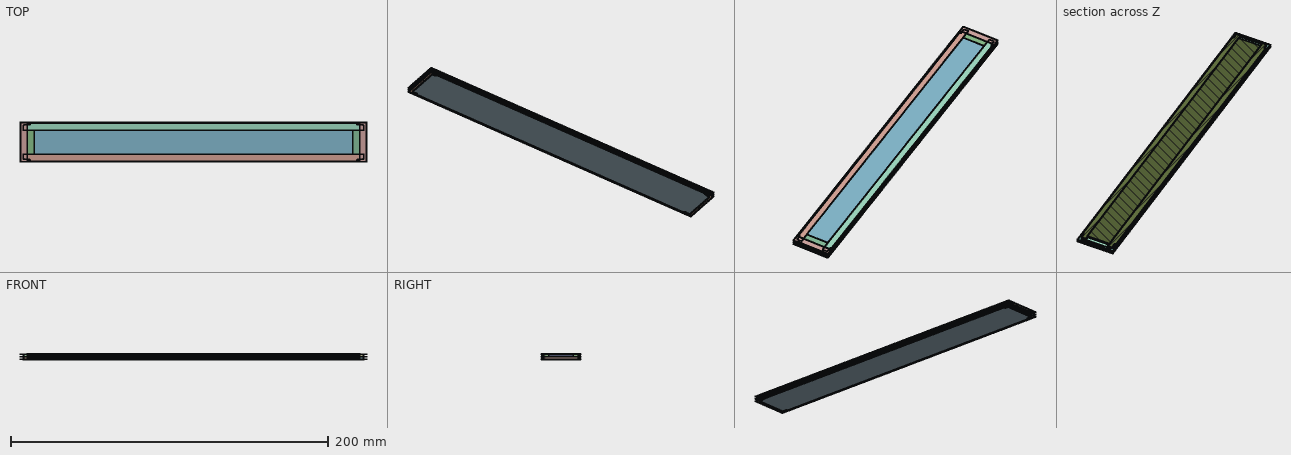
import cadquery as cq

LENGTH = 218.4
WIDTH = 24.96
HEIGHT = 3.74

SHEET_THICKNESS = 0.06
PLATE_THICKNESS = 0.5
SHEET_LEVEL = (HEIGHT - PLATE_THICKNESS) / 2
SHEET_LEVELS = (-SHEET_LEVEL, 0, SHEET_LEVEL)

SHEET_OVERHANG = 0.48
PLATE_HALF_LENGTH = 104.75
PLATE_HALF_WIDTH = WIDTH / 2 - SHEET_OVERHANG
PLATE_CORNER_X = 0.85
PLATE_CORNER_Y = 0.6

WEB_HALF_WIDTH = PLATE_HALF_WIDTH - 0.12
NECK_HALF_LENGTH = 107.3
NECK_HALF_WIDTH = 10.9
NECK_START_X = 103.6
NECK_FLARE_X = 102.7
NECK_CORNER_RADIUS = 0.6

INSERT_LENGTH = 2 * PLATE_HALF_LENGTH
INSERT_WIDTH = 15.2
INSERT_BOTTOM = PLATE_THICKNESS / 2
INSERT_END_TOP = 1.72
PANEL_LENGTH = 201
PANEL_TOP = 1.8


def box_between(length, width, bottom, top):
    """Box centred on the Z axis, from one height to another."""
    return cq.Workplane("XY").workplane(offset=bottom).rect(length, width).extrude(top - bottom)


def symmetric_slab(corner_points, bottom, top):
    """Slab whose outline repeats one quadrant's points, listed from +X to +Y, in all four quadrants."""
    back = corner_points[::-1]
    outline = list(corner_points)
    outline += [(-x, y) for x, y in back]
    outline += [(-x, -y) for x, y in corner_points]
    outline += [(x, -y) for x, y in back]
    return cq.Workplane("XY").workplane(offset=bottom).polyline(outline).close().extrude(top - bottom)


def make_web():
    """Upright core of the frame, from the bottom to the highest sheet."""
    corner = [
        (NECK_HALF_LENGTH, NECK_HALF_WIDTH),
        (NECK_START_X, NECK_HALF_WIDTH),
        (NECK_FLARE_X, WEB_HALF_WIDTH),
    ]
    web = symmetric_slab(corner, -HEIGHT / 2, SHEET_LEVEL)
    return web.edges("|Z and (<X or >X)").fillet(NECK_CORNER_RADIUS)


def make_plate(level):
    """Plate with cut corners, centred on a sheet level."""
    corner = [
        (PLATE_HALF_LENGTH, PLATE_HALF_WIDTH - PLATE_CORNER_Y),
        (PLATE_HALF_LENGTH - PLATE_CORNER_X, PLATE_HALF_WIDTH),
    ]
    return symmetric_slab(corner, level - PLATE_THICKNESS / 2, level + PLATE_THICKNESS / 2)


def make_sheet(level):
    """Thin full-size sheet, centred on a sheet level."""
    return box_between(LENGTH, WIDTH, level - SHEET_THICKNESS / 2, level + SHEET_THICKNESS / 2)


def make_frame():
    """Web, plates and sheets in one piece, with the channel for the insert."""
    frame = make_web()
    for level in SHEET_LEVELS:
        frame = frame.union(make_plate(level)).union(make_sheet(level))

    frame = frame.cut(box_between(INSERT_LENGTH, INSERT_WIDTH, INSERT_BOTTOM, HEIGHT / 2))

    channel_top = SHEET_LEVEL - SHEET_THICKNESS / 2
    return frame.cut(box_between(LENGTH, INSERT_WIDTH, INSERT_BOTTOM, channel_top))


def make_insert():
    """Strip filling the opening, lower at its two ends than in the middle."""
    strip = box_between(INSERT_LENGTH, INSERT_WIDTH, INSERT_BOTTOM, INSERT_END_TOP)
    panel = box_between(PANEL_LENGTH, INSERT_WIDTH, INSERT_BOTTOM, PANEL_TOP)
    return strip.union(panel)


frame = make_frame()
insert = make_insert()

result = cq.Compound.makeCompound([frame.val(), insert.val()])